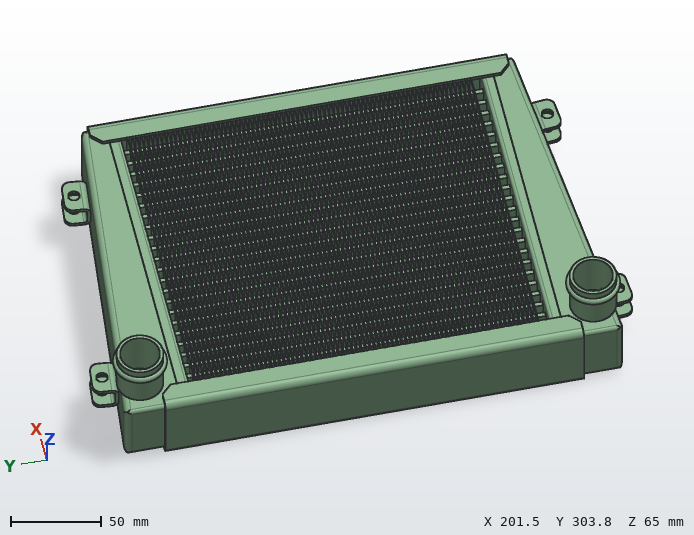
import cadquery as cq
import math

sheet = 2.0
bend_radius = 2 * sheet

width = 201.5
length = 303.8
channel_height = 43.0
channel_length = 235.8

flange_width = 14.0
flange_corner = 5.8

inner_width = width - 2 * sheet
inner_height = channel_height - 2 * sheet

frame_length = 216.3
frame_wall = 6.7
opening_width = inner_width - 2 * frame_wall
opening_length = frame_length - 2 * frame_wall

tube_count = 23
tube_pitch = 7.5
tube_thickness = 2.7
tube_inset = 3.5
fin_count = 77
fin_span = 193.2
fin_thickness = 0.4
fin_shift = 0.5
fin_inset = 3.5
fin_height = inner_height - 2 * fin_inset
tube_height = fin_height - 2 * tube_inset
fin_pitch = fin_span / (fin_count - 1)

tank_start = frame_length / 2
tall_end = 140.7
short_end = 121.8
tank_inset = 1.0
tank_height = inner_height - 2 * tank_inset
tank_bend = 3.5
wall_mid = (tall_end + short_end) / 2
slope = math.atan((tall_end - short_end) / inner_width)
wall_reach = 2 * inner_width

neck_x = -79.0
neck_y = 127.5
bore_radius = 11.0
neck_radius = bore_radius + sheet
neck_rise = 22.0
bead_radius = sheet
bead_drop = 6.5

bracket_width = 19.7
bracket_height = 14.0
lug_corner = 4.5
hole_diameter = 6.5
hole_distance = 8.2
bracket_offset = 63.8
lug_tip_drop = (bracket_offset + bracket_width / 2 - lug_corner) * math.sin(slope) + lug_corner
lug_length = lug_corner + (length / 2 - wall_mid - lug_tip_drop) / math.cos(slope)


def place_on_wall(shape, along):
    """Move a shape built against Y = 0 (+Y outward) onto the sloping wall of the +Y tank."""
    return (
        shape.translate((along, 0, 0))
        .rotate((0, 0, 0), (0, 0, 1), -math.degrees(slope))
        .translate((0, wall_mid, 0))
    )


def make_channel():
    """U-shaped channel on the -X side, open towards +X, with trimmed flange corners."""
    outer = (
        cq.Workplane("XY")
        .box(flange_width, channel_length, channel_height, centered=(False, True, True))
        .edges("|Y and <X")
        .fillet(bend_radius)
    )
    inside = (
        cq.Workplane("XY")
        .box(flange_width, channel_length, inner_height, centered=(False, True, True))
        .edges("|Y and <X")
        .fillet(bend_radius - sheet)
        .translate((sheet, 0, 0))
    )
    return (
        outer.edges("|Z and >X")
        .chamfer(flange_corner)
        .cut(inside)
        .translate((-width / 2, 0, 0))
    )


def make_frame():
    """Rectangular frame around the core, with rounded edges."""
    frame = (
        cq.Workplane("XY")
        .box(inner_width, frame_length, inner_height)
        .edges("|Y")
        .fillet(sheet)
    )
    opening = cq.Workplane("XY").box(opening_width, opening_length, channel_height)
    frame = frame.cut(opening)
    header_edges = cq.selectors.BoxSelector(
        (-width, -opening_length / 2 - sheet / 2, -channel_height),
        (width, opening_length / 2 + sheet / 2, channel_height),
    )
    return frame.edges("|X").edges(header_edges).fillet(sheet)


def make_core():
    """Tubes between the end walls of the frame, joined by the fins that cross them."""
    tube_spots = [((i - (tube_count - 1) / 2) * tube_pitch, 0) for i in range(tube_count)]
    fin_spots = [(0, fin_shift + fin_span / 2 - i * fin_pitch) for i in range(fin_count)]
    tubes = (
        cq.Workplane("XY")
        .pushPoints(tube_spots)
        .box(tube_thickness, opening_length, tube_height, combine=False)
    )
    fins = (
        cq.Workplane("XY")
        .pushPoints(fin_spots)
        .box(opening_width, fin_thickness, fin_height, combine=False)
    )
    solids = tubes.vals() + fins.vals()
    return cq.Workplane(solids[0].fuse(*solids[1:]))


def make_tank_block(inset):
    """Wedge of the +Y tank, drawn in by inset everywhere except on the core side."""
    half_width = inner_width / 2 - inset
    height = tank_height - 2 * inset
    wall_radius = tank_bend - inset
    wall_y = wall_mid - inset / math.cos(slope)
    fall = half_width * math.tan(slope)
    wedge = (
        cq.Workplane("XY")
        .polyline([
            (-half_width, tank_start),
            (half_width, tank_start),
            (half_width, wall_y - fall),
            (-half_width, wall_y + fall),
        ])
        .close()
        .extrude(height / 2, both=True)
    )
    wall_corners = cq.selectors.BoxSelector(
        (-width, tank_start + sheet, -height), (width, tall_end + sheet, height)
    )
    wedge = wedge.edges("|Z").edges(wall_corners).fillet(wall_radius)
    rounded_wall = (
        cq.Workplane("XY")
        .box(wall_reach, wall_reach, height, centered=(True, False, True))
        .edges("|X and >Y")
        .fillet(wall_radius)
        .translate((0, -wall_reach - inset, 0))
    )
    return wedge.intersect(place_on_wall(rounded_wall, 0))


def make_neck():
    """Hose neck with a rolled bead, standing on the top face of the tank."""
    mouth = channel_height / 2 + neck_rise
    base = tank_height / 2
    bead = mouth - bead_drop
    return (
        cq.Workplane("XZ")
        .moveTo(bore_radius, base)
        .lineTo(neck_radius, base)
        .lineTo(neck_radius, bead - bead_radius)
        .threePointArc((neck_radius + bead_radius, bead), (neck_radius, bead + bead_radius))
        .lineTo(neck_radius, mouth)
        .lineTo(bore_radius, mouth)
        .close()
        .revolve(360, (0, 0, 0), (0, 1, 0))
        .translate((neck_x, neck_y, 0))
    )


def make_tank():
    """Hollow +Y tank, open towards the core, with its hose neck.

    The bore reaches down past the rounded edge of the sloping wall, so it opens fully into the tank.
    """
    side_rounding = (
        cq.Workplane("XY")
        .box(inner_width, 2 * tall_end, tank_height)
        .edges("|Y")
        .fillet(sheet)
    )
    bore = (
        cq.Workplane("XY", origin=(neck_x, neck_y, tank_height / 2 - tank_bend))
        .circle(bore_radius)
        .extrude(channel_height)
    )
    return (
        make_tank_block(0)
        .intersect(side_rounding)
        .cut(make_tank_block(sheet))
        .cut(bore)
        .union(make_neck())
    )


def make_bracket():
    """U-shaped bracket: a web on the tank wall and two drilled lugs pointing outward."""
    outer = (
        cq.Workplane("XY")
        .box(bracket_width, lug_length, bracket_height, centered=(True, False, True))
        .edges("|X and <Y")
        .fillet(bend_radius)
    )
    inside = (
        cq.Workplane("XY")
        .box(bracket_width, lug_length, bracket_height - 2 * sheet, centered=(True, False, True))
        .edges("|X and <Y")
        .fillet(bend_radius - sheet)
        .translate((0, sheet, 0))
    )
    hole = (
        cq.Workplane("XY", origin=(0, hole_distance, 0))
        .circle(hole_diameter / 2)
        .extrude(bracket_height, both=True)
    )
    return outer.edges("|Z and >Y").fillet(lug_corner).cut(inside).cut(hole)


left_channel = make_channel()
channels = [left_channel, left_channel.mirror("YZ")]
frame = make_frame()
core = make_core()
tank = make_tank()
tanks = [tank, tank.mirror("XZ")]

brackets = []
for along in (-bracket_offset, bracket_offset):
    bracket = place_on_wall(make_bracket(), along)
    brackets += [bracket, bracket.mirror("XZ")]

bodies = [*channels, frame, core, *tanks, *brackets]
result = cq.Compound.makeCompound([body.val() for body in bodies])